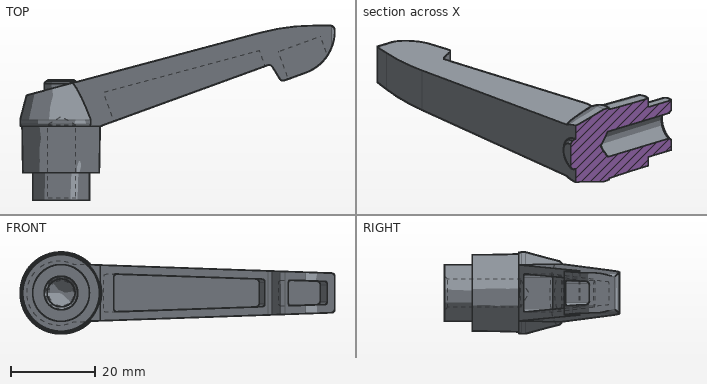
import cadquery as cq
import math


total_height = 41.55
hub_radius = 19.49 / 2
tip_x = 74.75 - hub_radius

insert_radius = 13.5 / 2
skirt_y = 6.55
bore_radius = 6.65 / 2
bore_mouth_radius = 4.0
bore_depth = 18.0
drill_point_angle = math.radians(118)

band_y = 17.6
band_edge_y = 18.2
band_bottom_radius = 9.6
cone_y = 19.2
cone_angle = math.radians(15)
skirt_bottom_radius = 9.1
skirt_top_radius = 9.3
skirt_overlap = 0.5
skirt_inner_y = band_y + skirt_overlap

screw_radius = 4.05
screw_bevel_radius = 3.75
screw_top_radius = 3.0
screw_edge_y = 27.67
screw_bevel_y = 28.15
screw_top_y = 28.65

top_angle = math.radians(15)
top_y_at_axis = 27.17
top_bend_radius = 50.0
under_angle = math.radians(20)
root_x = 9.3
notch_inner_x = 49.75
notch_inner_radius = 0.9
nose_x, nose_y = 52.3, 28.2
nose_radius = 1.0
tip_curve_x = 58.0
tip_corner_radius = 1.2

half_width_at_axis = 6.97
side_angle = math.radians(2)
tip_side_radius = 0.9

pocket_wall = 2.0
pocket_corner_radius = 0.8
arm_pocket_start_x = 12.5
arm_pocket_end_x = 48.4
arm_pocket_roof = 4.0
nose_pocket_start_x = 53.9
nose_pocket_floor_end_x = 61.5
nose_pocket_depth = 7.0


def top_y(x):
    """Height of the sloped top plane at x."""
    return top_y_at_axis + x * math.tan(top_angle)


def arm_under_y(x):
    """Height of the arm underside at x."""
    return band_y + (x - root_x) * math.tan(under_angle)


def nose_under_y(x):
    """Height of the straight nose underside at x."""
    return nose_y + (x - nose_x) * math.tan(under_angle)


def half_width(x):
    """Half the arm width at x."""
    return half_width_at_axis - x * math.tan(side_angle)


def prism(sketch):
    """Extrude an XY outline across the whole width of the part."""
    return sketch.close().extrude(hub_radius, both=True)


def space_below_top(depth):
    """Everything under the sloped top plane lowered square to itself by depth."""
    drop = depth / math.cos(top_angle)
    return prism(
        cq.Workplane("XY")
        .moveTo(-hub_radius, 0)
        .lineTo(tip_x, 0)
        .lineTo(tip_x, top_y(tip_x) - drop)
        .lineTo(-hub_radius, top_y(-hub_radius) - drop)
    )


def tapered_bar(plane, start_x, end_x, length, wall, depth):
    """Bar on a plane whose sides follow the arm sides between two x positions, inset by wall."""
    start_half = half_width(start_x) - wall
    end_half = half_width(end_x) - wall
    corners = [(0, -start_half), (length, -end_half), (length, end_half), (0, start_half)]
    return cq.Workplane(plane).polyline(corners).close().extrude(depth)


def make_hub():
    cone_top_radius = hub_radius - (total_height - cone_y) * math.tan(cone_angle)
    hub = (
        cq.Workplane("XY")
        .moveTo(0, band_y)
        .lineTo(band_bottom_radius, band_y)
        .lineTo(hub_radius, band_edge_y)
        .lineTo(hub_radius, cone_y)
        .lineTo(cone_top_radius, total_height)
        .lineTo(0, total_height)
        .close()
        .revolve(360, (0, 0), (0, 1))
    )
    return hub.intersect(space_below_top(0))


def make_skirt_and_insert():
    return (
        cq.Workplane("XY")
        .lineTo(insert_radius, 0)
        .lineTo(insert_radius, skirt_y)
        .lineTo(skirt_bottom_radius, skirt_y)
        .lineTo(skirt_top_radius, band_y)
        .lineTo(skirt_top_radius, skirt_inner_y)
        .lineTo(0, skirt_inner_y)
        .close()
        .revolve(360, (0, 0), (0, 1))
    )


def make_screw_head():
    return (
        cq.Workplane("XY")
        .moveTo(0, band_y)
        .lineTo(screw_radius, band_y)
        .lineTo(screw_radius, screw_edge_y)
        .lineTo(screw_bevel_radius, screw_bevel_y)
        .lineTo(screw_top_radius, screw_top_y)
        .lineTo(0, screw_top_y)
        .close()
        .revolve(360, (0, 0), (0, 1))
    )


def round_cross_edge(body, x, y, radius):
    """Round the edge that runs along Z through the point (x, y)."""
    edge = body.edges(cq.selectors.NearestToPointSelector((x, y, 0)))
    return edge.fillet(radius)


def make_arm():
    bend_x = (total_height - top_y_at_axis) / math.tan(top_angle)
    bend_reach = top_bend_radius * math.tan(top_angle / 2)
    bend_start_x = bend_x - bend_reach * math.cos(top_angle)
    tip_curve_y = nose_under_y(tip_curve_x)
    tip_curve_radius = (tip_x - tip_curve_x) / (1 - math.sin(under_angle))
    tip_curve_end_y = tip_curve_y + tip_curve_radius * math.cos(under_angle)
    mid_angle = (under_angle - math.pi / 2) / 2
    tip_curve_mid = (
        tip_x - tip_curve_radius * (1 - math.cos(mid_angle)),
        tip_curve_end_y + tip_curve_radius * math.sin(mid_angle),
    )
    tip_corner_y = total_height - tip_corner_radius
    corner_mid_offset = tip_corner_radius * (1 - math.sqrt(0.5))
    arm = prism(
        cq.Workplane("XY")
        .moveTo(0, band_y)
        .lineTo(root_x, band_y)
        .lineTo(notch_inner_x, arm_under_y(notch_inner_x))
        .lineTo(nose_x, nose_y)
        .lineTo(tip_curve_x, tip_curve_y)
        .threePointArc(tip_curve_mid, (tip_x, tip_curve_end_y))
        .lineTo(tip_x, tip_corner_y)
        .threePointArc(
            (tip_x - corner_mid_offset, total_height - corner_mid_offset),
            (tip_x - tip_corner_radius, total_height),
        )
        .lineTo(bend_x + bend_reach, total_height)
        .tangentArcPoint((bend_start_x, top_y(bend_start_x)), relative=False)
        .lineTo(0, top_y_at_axis)
    )
    arm = round_cross_edge(arm, notch_inner_x, arm_under_y(notch_inner_x), notch_inner_radius)
    arm = round_cross_edge(arm, nose_x, nose_y, nose_radius)
    plan = tapered_bar(cq.Plane((0, 0, 0), (1, 0, 0), (0, 1, 0)), 0, tip_x, tip_x, 0, total_height)
    plan = plan.edges("|Y and >X").fillet(tip_side_radius)
    return arm.intersect(plan)


def make_pocket(start_x, end_x, under_y, depth):
    """Pocket tool sunk square to an underside, its sides parallel to the arm sides."""
    along = (math.cos(under_angle), math.sin(under_angle), 0)
    inward = (-math.sin(under_angle), math.cos(under_angle), 0)
    plane = cq.Plane((start_x, under_y(start_x), 0), along, inward)
    length = (end_x - start_x) / math.cos(under_angle)
    pocket = tapered_bar(plane, start_x, end_x, length, pocket_wall, depth)
    corner_edges = cq.selectors.ParallelDirSelector(cq.Vector(*inward))
    return pocket.edges(corner_edges).fillet(pocket_corner_radius)


def make_arm_pocket():
    """Pocket under the arm whose floor runs parallel to the sloped top."""
    through_pocket = make_pocket(arm_pocket_start_x, arm_pocket_end_x, arm_under_y, total_height)
    return through_pocket.intersect(space_below_top(arm_pocket_roof))


def make_nose_pocket():
    end_x = nose_pocket_floor_end_x + nose_pocket_depth * math.sin(under_angle)
    return make_pocket(nose_pocket_start_x, end_x, nose_under_y, nose_pocket_depth)


def make_bore():
    point_height = bore_radius / math.tan(drill_point_angle / 2)
    mouth_depth = bore_mouth_radius - bore_radius
    return (
        cq.Workplane("XY")
        .lineTo(bore_mouth_radius, 0)
        .lineTo(bore_radius, mouth_depth)
        .lineTo(bore_radius, bore_depth)
        .lineTo(0, bore_depth + point_height)
        .close()
        .revolve(360, (0, 0), (0, 1))
    )


result = (
    make_hub()
    .union(make_skirt_and_insert())
    .union(make_arm())
    .union(make_screw_head())
    .cut(make_arm_pocket())
    .cut(make_nose_pocket())
    .cut(make_bore())
)